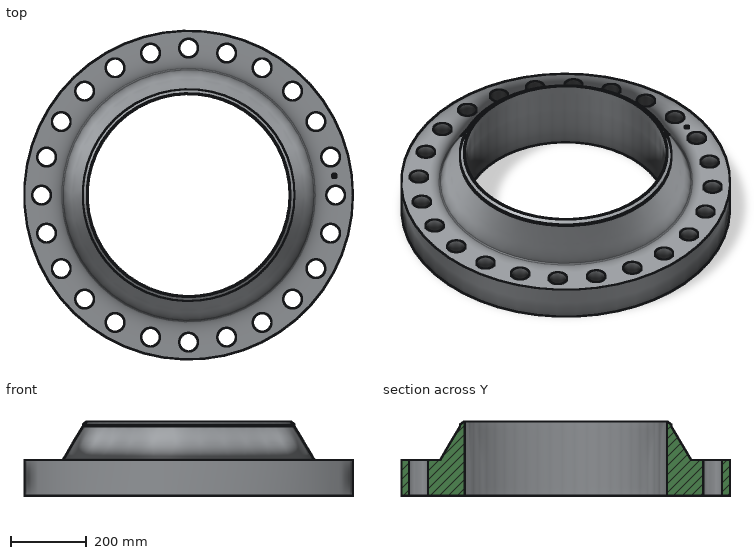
import cadquery as cq

flange_diameter = 870.0
flange_thickness = 95.0
total_height = 196.5

hub_base_diameter = 665.0
neck_diameter = 560.0
bore_diameter = 534.0
hub_root_fillet = 4.0
neck_land_height = 5.0
bevel_height = 8.0
weld_face_width = 3.0

bolt_count = 24
bolt_circle_diameter = 777.5
bolt_hole_diameter = 49.0
bolt_pitch_angle = 360.0 / bolt_count

small_hole_diameter = 8.0
small_hole_rim_diameter = 12.0
small_hole_depth = 26.0
small_hole_angle = bolt_pitch_angle / 2


def make_body():
    """Revolve the flange, hub and welding end around the bore, then round the hub root."""
    bore_radius = bore_diameter / 2
    flange_radius = flange_diameter / 2
    hub_radius = hub_base_diameter / 2
    neck_radius = neck_diameter / 2
    bevel_start = total_height - bevel_height
    hub_root = cq.selectors.RadiusNthSelector(-2)
    body = (
        cq.Workplane("XZ")
        .moveTo(bore_radius, 0)
        .lineTo(flange_radius, 0)
        .lineTo(flange_radius, flange_thickness)
        .lineTo(hub_radius, flange_thickness)
        .lineTo(neck_radius, bevel_start - neck_land_height)
        .lineTo(neck_radius, bevel_start)
        .lineTo(bore_radius + weld_face_width, total_height)
        .lineTo(bore_radius, total_height)
        .close()
        .revolve(360, (0, 0, 0), (0, 1, 0))
    )
    return body.edges("%CIRCLE").edges(hub_root).fillet(hub_root_fillet)


def make_bolt_holes():
    """Ring of through holes, the first one on the +X axis."""
    return (
        cq.Workplane("XY")
        .polarArray(bolt_circle_diameter / 2, 0, 360, bolt_count)
        .circle(bolt_hole_diameter / 2)
        .extrude(flange_thickness)
    )


def make_small_hole():
    """Blind hole with a 45 degree countersunk rim, sunk from the top of the flange."""
    hole_radius = small_hole_diameter / 2
    rim_radius = small_hole_rim_diameter / 2
    rim_depth = rim_radius - hole_radius
    return (
        cq.Workplane("XZ")
        .lineTo(rim_radius, 0)
        .lineTo(hole_radius, -rim_depth)
        .lineTo(hole_radius, -small_hole_depth)
        .lineTo(0, -small_hole_depth)
        .close()
        .revolve(360, (0, 0, 0), (0, 1, 0))
        .translate((bolt_circle_diameter / 2, 0, flange_thickness))
        .rotate((0, 0, 0), (0, 0, 1), small_hole_angle)
    )


result = make_body().cut(make_bolt_holes()).cut(make_small_hole())